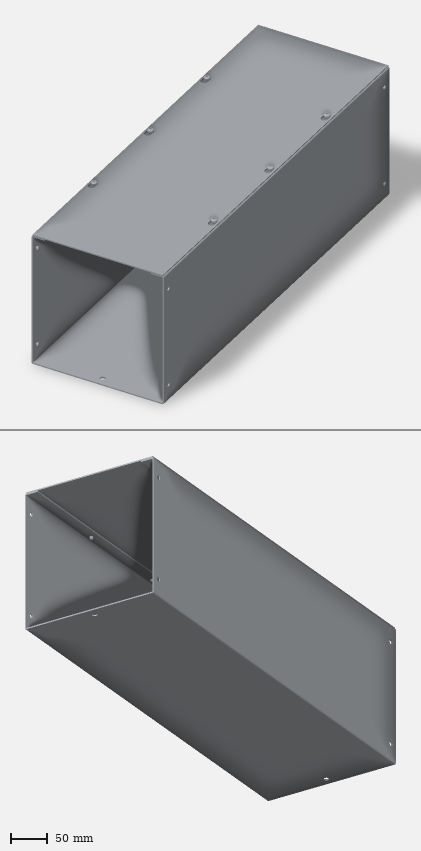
import cadquery as cq
import math

length = 609.5
width = 206.5
sheet = 2.0
trough_height = 205.5
flange_width = 20.0
bend_radius = 2.5
wall_hole_diameter = 7.0
floor_hole_diameter = 8.0
wall_hole_end_inset = 13.0
floor_hole_end_inset = 13.5
wall_hole_spacing = 154.0

lid_edge_inset = 1.5
lid_width = width - 2 * lid_edge_inset
lid_slot_width = 10.0
lid_slot_length = 17.0

screw_pitch = 152.5
screws_per_side = 3
screw_row_spacing = 188.0
head_diameter = 10.0
total_height = 211.5
shank_diameter = 5.5
shank_length = 8.5
shank_chamfer = 0.9
dome_height = 1.5
dome_bulge = 0.3
dome_flat_diameter = 5.0
socket_across_flats = 3.0
socket_depth = 2.0

lid_top = trough_height + sheet
screw_points = [
    (side * screw_row_spacing / 2, (row - (screws_per_side - 1) / 2) * screw_pitch)
    for side in (-1, 1)
    for row in range(screws_per_side)
]


def rounded_box(box_width, bottom, top, radius):
    """Full-length bar along Y with its long edges rounded."""
    return (
        cq.Workplane("XY")
        .box(box_width, length, top - bottom, centered=(True, True, False))
        .translate((0, 0, bottom))
        .edges("|Y")
        .fillet(radius)
    )


def make_trough():
    """Folded trough with flanges, wall holes, floor holes and screw holes."""
    outer = rounded_box(width, 0, trough_height, bend_radius)
    inner = rounded_box(width - 2 * sheet, sheet, trough_height - sheet, bend_radius - sheet)
    opening = (
        cq.Workplane("XY")
        .box(width - 2 * flange_width, length, trough_height / 2, centered=(True, True, False))
        .translate((0, 0, trough_height / 2))
    )
    wall_end_offset = length / 2 - wall_hole_end_inset
    wall_holes = (
        cq.Workplane("YZ", origin=(0, 0, trough_height / 2))
        .rect(2 * wall_end_offset, wall_hole_spacing, forConstruction=True)
        .vertices()
        .circle(wall_hole_diameter / 2)
        .extrude(width, both=True)
    )
    floor_end_offset = length / 2 - floor_hole_end_inset
    floor_holes = (
        cq.Workplane("XY")
        .pushPoints([(0, -floor_end_offset), (0, floor_end_offset)])
        .circle(floor_hole_diameter / 2)
        .extrude(sheet)
    )
    screw_holes = (
        cq.Workplane("XY", origin=(0, 0, trough_height - sheet))
        .pushPoints(screw_points)
        .circle(shank_diameter / 2)
        .extrude(sheet)
    )
    return outer.cut(inner).cut(opening).cut(wall_holes).cut(floor_holes).cut(screw_holes)


def make_lid():
    """Flat plate with one lengthwise slot per screw."""
    slot_shift = (lid_slot_length - lid_slot_width) / 2
    slots = (
        cq.Workplane("XY", origin=(0, 0, trough_height))
        .pushPoints([(x, y - slot_shift) for x, y in screw_points])
        .slot2D(lid_slot_length, lid_slot_width, 90)
        .extrude(sheet)
    )
    plate = (
        cq.Workplane("XY", origin=(0, 0, trough_height))
        .rect(lid_width, length)
        .extrude(sheet)
    )
    return plate.cut(slots)


def make_screw(x, y):
    """Button-head screw with a hexagon socket, standing at (x, y)."""
    rim_radius = head_diameter / 2
    flat_radius = dome_flat_diameter / 2
    rim_top = total_height - dome_height
    shoulder_middle = (
        (rim_radius + flat_radius) / 2 + dome_bulge,
        rim_top + dome_height / 2 + dome_bulge,
    )
    head = (
        cq.Workplane("XZ")
        .moveTo(0, lid_top)
        .lineTo(rim_radius, lid_top)
        .lineTo(rim_radius, rim_top)
        .threePointArc(shoulder_middle, (flat_radius, total_height))
        .lineTo(0, total_height)
        .close()
        .revolve(360, (0, 0, 0), (0, 1, 0))
    )
    shank = (
        cq.Workplane("XY", origin=(0, 0, lid_top))
        .circle(shank_diameter / 2)
        .extrude(-shank_length)
        .faces("<Z")
        .chamfer(shank_chamfer)
    )
    socket = (
        cq.Workplane("XY", origin=(0, 0, total_height))
        .polygon(6, socket_across_flats / math.cos(math.pi / 6))
        .extrude(-socket_depth)
    )
    return head.union(shank).cut(socket).translate((x, y, 0))


trough = make_trough()
lid = make_lid()
screws = [make_screw(x, y) for x, y in screw_points]

result = cq.Compound.makeCompound([trough.val(), lid.val(), *[screw.val() for screw in screws]])